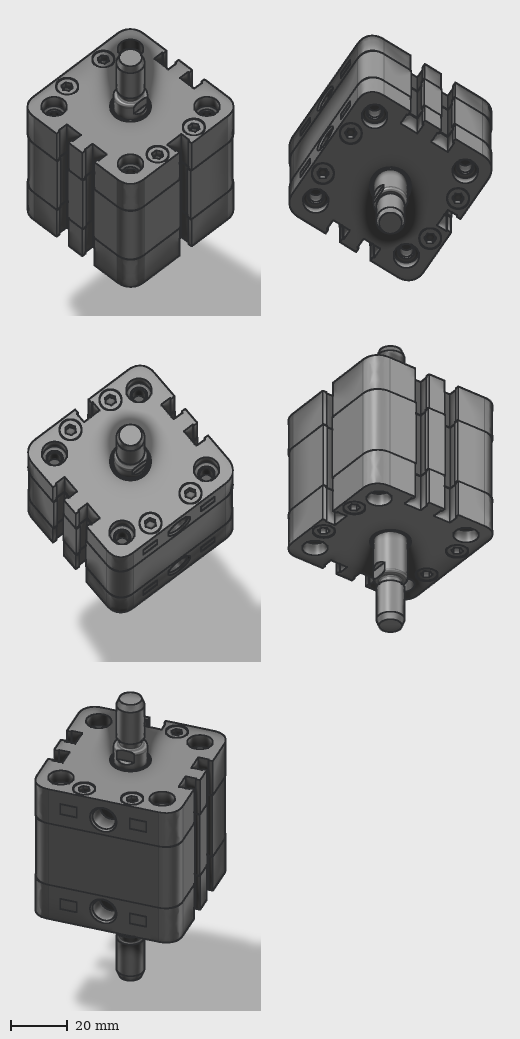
import cadquery as cq


side = 54.8
cap_height = 14.5
barrel_height = 26.0
housing_height = barrel_height + 2 * cap_height
half_side = side / 2
barrel_top = barrel_height / 2
housing_top = housing_height / 2
corner_setback = 6.75
cap_corner_inset = 1.78

slot_offset = 6.4
barrel_slot = {"neck": 5.3, "lip": 1.75, "width": 6.7, "depth": 5.3}
cap_slot = {"neck": 6.0, "lip": 1.65, "width": 7.05, "depth": 5.65}

mount_offset = 19.0
mount_bore_diameter = 9.0
mount_bore_depth = 5.0
mount_mouth_diameter = 6.0
mount_hole_diameter = 4.92
mount_hole_depth = 12.0

screw_x = 22.5
screw_y = 9.0
screw_recess_diameter = 7.9
screw_flat_diameter = 7.5
screw_recess_depth = 0.3
socket_across_flats = 3.6
socket_depth = 3.0

port_from_end = 8.1
port_mouth_diameter = 10.0
port_diameter = 8.57
core_diameter = 40.0

label_offset = 13.0
label_from_end = 7.4
label_width = 6.2
label_height = 4.3
label_depth = 0.1

wiper_mouth_diameter = 14.5
wiper_outer_diameter = 14.0
wiper_inner_diameter = 13.7
wiper_lip_diameter = 12.54
wiper_lip_drop = 0.05
wiper_depth = 1.0

overall_length = 117.0
rod_length = overall_length / 2
rod_diameter = 12.0
upper_reach = 26.0
rod_joint = housing_top + upper_reach - rod_length
thread_diameter = 10.0
thread_length = 16.0
thread_tip_diameter = 8.0
thread_chamfer_length = 2.6
neck_diameter = 7.9
neck_length = 3.0
neck_radius = 0.5
shoulder_radius = 1.25
flat_width = 10.0
flat_length = 4.2


def slot_cutter(size, height):
    """T-slot with its mouth in the +Y face, centred on X = 0."""
    lip_y = half_side - size["lip"]
    floor_y = half_side - size["depth"]
    half_neck = size["neck"] / 2
    half_width = size["width"] / 2
    outline = [
        (-half_neck, half_side + size["lip"]),
        (-half_neck, lip_y),
        (-half_width, lip_y),
        (-half_width, floor_y),
        (half_width, floor_y),
        (half_width, lip_y),
        (half_neck, lip_y),
        (half_neck, half_side + size["lip"]),
    ]
    return cq.Workplane("XY").polyline(outline).close().extrude(height)


def cut_slots(body, size, height, base):
    """Two slots in each of the +Y and -Y faces and one in the middle of the +X face."""
    cutter = slot_cutter(size, height).translate((0, 0, base))
    for x in (-slot_offset, slot_offset):
        slot = cutter.translate((x, 0, 0))
        body = body.cut(slot).cut(slot.mirror("XZ"))
    return body.cut(cutter.rotate((0, 0, 0), (0, 0, 1), -90))


def make_barrel():
    """Square block with rounded corners, T-slots and a bore that fits the rods."""
    base = cq.Workplane("XY", origin=(0, 0, -barrel_top))
    body = base.rect(side, side).extrude(barrel_height).edges("|Z").fillet(corner_setback)
    body = cut_slots(body, barrel_slot, barrel_height, -barrel_top)
    return body.cut(base.circle(rod_diameter / 2).extrude(barrel_height))


def cap_blank():
    """Square block whose corners bulge a little further out than those of the barrel."""
    flat_end = half_side - corner_setback
    middle = half_side - cap_corner_inset
    outline = cq.Workplane("XY", origin=(0, 0, barrel_top)).moveTo(half_side, -flat_end)
    for x, y in ((1, 0), (0, 1), (-1, 0), (0, -1)):
        outline = outline.lineTo(x * half_side - y * flat_end, y * half_side + x * flat_end)
        corner_middle = ((x - y) * middle, (x + y) * middle)
        corner_end = (x * flat_end - y * half_side, y * flat_end + x * half_side)
        outline = outline.spline(
            [corner_middle, corner_end],
            tangents=[(-y, x), (-x, -y)],
            includeCurrent=True,
        )
    return outline.close().extrude(cap_height)


def mount_hole():
    """Counterbored blind hole with a conical lead-in, opening at the top of the cap."""
    mouth_radius = mount_mouth_diameter / 2
    hole_radius = mount_hole_diameter / 2
    profile = [
        (0, 0),
        (mount_bore_diameter / 2, 0),
        (mount_bore_diameter / 2, -mount_bore_depth),
        (mouth_radius, -mount_bore_depth),
        (hole_radius, -mount_bore_depth - (mouth_radius - hole_radius)),
        (hole_radius, -mount_hole_depth),
        (0, -mount_hole_depth),
    ]
    return revolved(profile).translate((0, 0, housing_top))


def screw_recess():
    """Round recess down to a chamfered screw head, with a hexagon socket in the head."""
    recess_radius = screw_recess_diameter / 2
    flat_radius = screw_flat_diameter / 2
    chamfer = recess_radius - flat_radius
    recess = [
        (0, 0),
        (recess_radius, 0),
        (recess_radius, -screw_recess_depth - chamfer),
        (flat_radius, -screw_recess_depth),
        (0, -screw_recess_depth),
    ]
    socket = cq.Workplane("XY").polygon(6, socket_across_flats, circumscribed=True).extrude(-socket_depth)
    return revolved(recess).union(socket).translate((0, 0, housing_top))


def revolved(profile):
    """Solid of revolution about Z from (radius, height) points."""
    return cq.Workplane("XZ").polyline(profile).close().revolve(360, (0, 0, 0), (0, 1, 0))


def port_cutter():
    """Chamfered port along X from the -X face, stopped by the round core of the cap."""
    port_z = housing_top - port_from_end
    chamfer = (port_mouth_diameter - port_diameter) / 2
    face = cq.Workplane("YZ", origin=(-half_side, 0, port_z))
    bore = face.circle(port_diameter / 2).extrude(half_side)
    mouth = face.circle(port_mouth_diameter / 2).workplane(offset=chamfer).circle(port_diameter / 2).loft()
    core = cq.Workplane("XY").circle(core_diameter / 2).extrude(housing_top)
    return bore.union(mouth).cut(core)


def label_cutter():
    return (
        cq.Workplane("YZ", origin=(-half_side, 0, housing_top - label_from_end))
        .pushPoints([(-label_offset, 0), (label_offset, 0)])
        .rect(label_width, label_height)
        .extrude(label_depth)
    )


def wiper_opening():
    """Rod bore with a shallow groove around a wiper lip that rises almost to the cap face."""
    mouth_radius = wiper_mouth_diameter / 2
    outer_radius = wiper_outer_diameter / 2
    step_z = outer_radius - mouth_radius
    profile = [
        (0, 0),
        (mouth_radius, 0),
        (outer_radius, step_z),
        (wiper_inner_diameter / 2, step_z),
        (wiper_lip_diameter / 2, -wiper_lip_drop),
        (wiper_lip_diameter / 2, -wiper_depth),
        (rod_diameter / 2, -wiper_depth),
        (rod_diameter / 2, -cap_height),
        (0, -cap_height),
    ]
    return revolved(profile).translate((0, 0, housing_top))


def make_upper_cap():
    body = cut_slots(cap_blank(), cap_slot, cap_height, barrel_top)
    body = body.cut(wiper_opening()).cut(port_cutter()).cut(label_cutter())
    for x_sign in (-1, 1):
        for y_sign in (-1, 1):
            body = body.cut(mount_hole().translate((x_sign * mount_offset, y_sign * mount_offset, 0)))
            body = body.cut(screw_recess().translate((x_sign * screw_x, y_sign * screw_y, 0)))
    return body


def make_upper_rod():
    """Rod half with a threaded end, an undercut neck and two wrench flats on the shoulder."""
    tip = rod_joint + rod_length
    thread_end = tip - thread_length
    shoulder = thread_end - neck_length
    rod = (
        cq.Workplane("XY", origin=(0, 0, rod_joint))
        .circle(rod_diameter / 2)
        .extrude(shoulder - rod_joint)
        .faces(">Z")
        .edges()
        .fillet(shoulder_radius)
    )
    neck_edge = neck_diameter / 2
    root = neck_edge + neck_radius
    threaded_end = (
        cq.Workplane("XZ")
        .moveTo(0, shoulder)
        .lineTo(root, shoulder)
        .radiusArc((neck_edge, shoulder + neck_radius), neck_radius)
        .lineTo(neck_edge, thread_end - neck_radius)
        .radiusArc((root, thread_end), neck_radius)
        .lineTo(thread_diameter / 2, thread_end)
        .lineTo(thread_diameter / 2, tip - thread_chamfer_length)
        .lineTo(thread_tip_diameter / 2, tip)
        .lineTo(0, tip)
        .close()
        .revolve(360, (0, 0, 0), (0, 1, 0))
    )
    flat_x = flat_width / 2
    ramp = rod_diameter / 2 - flat_x
    flat_end = shoulder - flat_length
    flat = (
        cq.Workplane("XZ")
        .polyline([
            (flat_x, shoulder),
            (flat_x, flat_end),
            (flat_x + 2 * ramp, flat_end - 2 * ramp),
            (flat_x + 2 * ramp, shoulder),
        ])
        .close()
        .extrude(rod_diameter / 2, both=True)
    )
    return rod.cut(flat).cut(flat.mirror("YZ")).union(threaded_end)


def turned_over(body, centre_z):
    """Copy of a body turned half a turn about the X direction at the given height."""
    return body.rotate((0, 0, centre_z), (1, 0, centre_z), 180)


barrel = make_barrel()
upper_cap = make_upper_cap()
upper_rod = make_upper_rod()
caps = [upper_cap, turned_over(upper_cap, 0)]
rods = [upper_rod, turned_over(upper_rod, rod_joint)]

result = cq.Compound.makeCompound([body.val() for body in [barrel, *caps, *rods]])